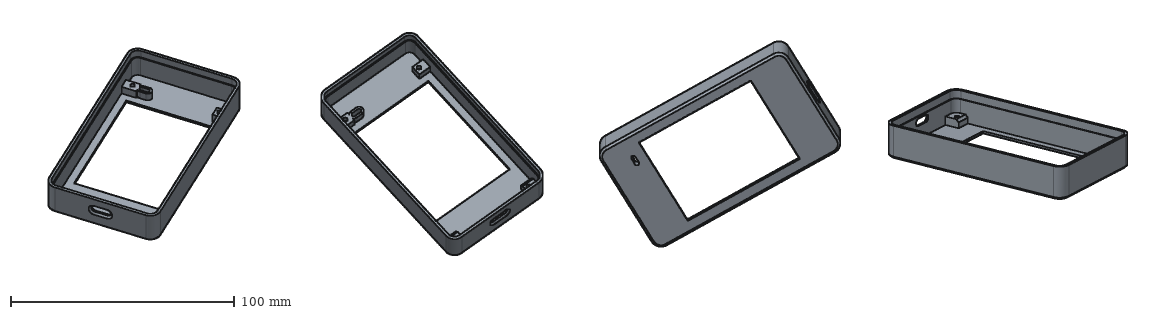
import cadquery as cq

width = 54.4
length = 97.4
height = 16.0
corner_radius = 5.0
bottom_chamfer = 1.2
wall = 1.85
floor_thickness = 1.2

rim_wall = 1.4
rim_depth = 4.0

window_width = 43.2
window_length = 58.1
window_center_y = 0.4

block_height = 4.1
left_block_width = 7.2
right_block_width = 6.2
rear_block_length = 5.0
rear_block_center_y = 35.3
front_block_length = 5.9
front_block_bevel = 1.3
screw_diameter = 2.0
screw_depth = 3.0
screw_spacing_x = 42.5
rear_screw_y = 35.6
front_screw_y = -42.7

slot_length = 5.0
slot_width = 1.9
collar_wall = 1.1
slot_center_x = -15.1
slot_center_y = 35.3

port_length = 9.6
port_height = 3.5
port_center_z = 9.2
port_chamfer = 1.0

inner_width = width - 2 * wall
inner_length = length - 2 * wall
block_top = floor_thickness + block_height


def rounded_prism(inset, bottom, top):
    """Prism following the outer outline, moved inwards by the inset."""
    return (
        cq.Workplane("XY", origin=(0, 0, bottom))
        .rect(width - 2 * inset, length - 2 * inset)
        .extrude(top - bottom)
        .edges("|Z")
        .fillet(corner_radius - inset)
    )


def make_shell():
    """Open-topped tray with a chamfered base, a stepped rim and a window."""
    body = rounded_prism(0, 0, height).faces("<Z").chamfer(bottom_chamfer)
    cavity = rounded_prism(wall, floor_thickness, height)
    rim_recess = rounded_prism(rim_wall, height - rim_depth, height)
    window = (
        cq.Workplane("XY")
        .center(0, window_center_y)
        .rect(window_width, window_length)
        .extrude(floor_thickness)
    )
    return body.cut(cavity).cut(rim_recess).cut(window)


def make_block(side, block_width, front_y, back_y):
    """Mounting block on the floor against the left (-1) or right (1) wall."""
    center_x = side * (inner_width - block_width) / 2
    return (
        cq.Workplane("XY", origin=(center_x, (front_y + back_y) / 2, floor_thickness))
        .rect(block_width, back_y - front_y)
        .extrude(block_height)
    )


def make_side_blocks(side, block_width):
    """Rear block and bevelled front corner block of one side."""
    rear_block = make_block(
        side,
        block_width,
        rear_block_center_y - rear_block_length / 2,
        rear_block_center_y + rear_block_length / 2,
    )
    front_wall_y = -inner_length / 2
    front_block = make_block(
        side, block_width, front_wall_y, front_wall_y + front_block_length + front_block_bevel
    )
    front_block = front_block.faces(">Y").edges(">Z").chamfer(front_block_bevel)
    return rear_block.union(front_block)


def make_slot(extra, top):
    """Upright prism of the floor slot, grown outwards by the extra margin."""
    return (
        cq.Workplane("XY", origin=(slot_center_x, slot_center_y, 0))
        .slot2D(slot_length + 2 * extra, slot_width + 2 * extra)
        .extrude(top)
    )


def make_screw_holes():
    """Blind holes in the tops of the four blocks."""
    centers = [
        (side * screw_spacing_x / 2, y)
        for side in (-1, 1)
        for y in (rear_screw_y, front_screw_y)
    ]
    return (
        cq.Workplane("XY", origin=(0, 0, block_top - screw_depth))
        .pushPoints(centers)
        .circle(screw_diameter / 2)
        .extrude(screw_depth)
    )


def make_port():
    """Rounded connector opening with a 45 degree flare on the outside."""
    wall_face = cq.Workplane("XZ", origin=(0, -length / 2, port_center_z))
    opening = wall_face.slot2D(port_length, port_height).extrude(-wall)
    flare = wall_face.slot2D(
        port_length + 2 * port_chamfer, port_height + 2 * port_chamfer
    ).extrude(-port_chamfer, taper=45)
    return opening.union(flare)


blocks = make_side_blocks(-1, left_block_width).union(make_side_blocks(1, right_block_width))
blocks = blocks.intersect(rounded_prism(wall, floor_thickness, height))
collar = make_slot(collar_wall, block_top)

result = (
    make_shell()
    .union(blocks)
    .union(collar)
    .cut(make_slot(0, block_top))
    .cut(make_screw_holes())
    .cut(make_port())
)